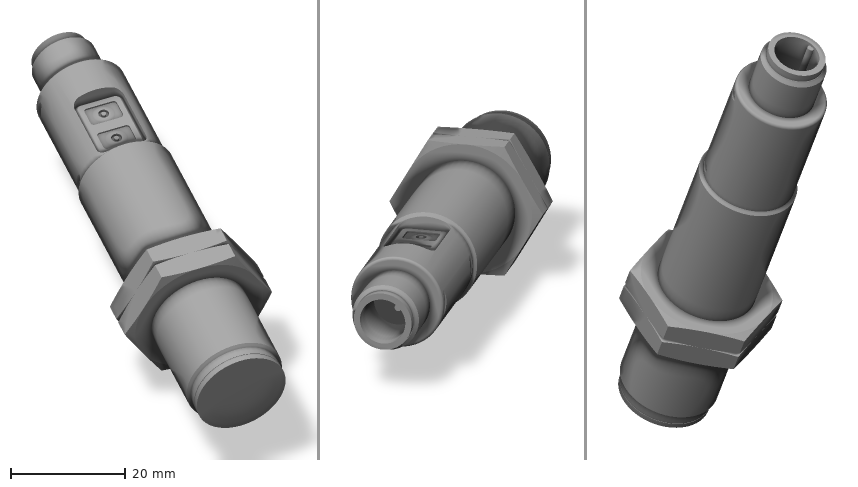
import cadquery as cq
import math

TOTAL_LENGTH = 87.0

CONNECTOR_RADIUS = 6.0
CONNECTOR_TIP_RADIUS = 5.2
CONNECTOR_TIP_LENGTH = 1.5
CONNECTOR_CHAMFER = 0.7
BORE_RADIUS = 4.1
BORE_DEPTH = 10.0
KEY_RADIUS = 0.6
KEY_OFFSET = 3.7
KEY_SETBACK = 0.4
KEY_ANGLE = 45.0

NECK_START = 10.0
NECK_RADIUS = 8.35
NECK_FILLET = 0.5

BARREL_START = 31.5
BARREL_END = 84.2
BARREL_RADIUS = 9.0
BARREL_CHAMFER_LENGTH = 0.5

FACE_RADIUS = NECK_RADIUS
FACE_GROOVE_START = 85.8
FACE_GROOVE_WIDTH = 0.3
FACE_GROOVE_DEPTH = 0.1

DIMPLE_POSITIONS = (11.75, 30.2)
DIMPLE_CUTTER_RADIUS = 1.0
DIMPLE_DEPTH = 0.32

PANEL_CENTER_X = 24.45
POCKET_LENGTH = 13.4
POCKET_WIDTH = 9.05
POCKET_CORNER_RADIUS = 1.5
POCKET_WALL_TAPER = 6.0
PAD_TOP_Z = 6.2
PAD_EDGE_HEIGHT = 0.5
PAD_EDGE_ANGLE = 45.0

CONTROL_POSITIONS = (21.3, 27.5)
WINDOW_LENGTH = 4.1
WINDOW_WIDTH = 6.1
WINDOW_CORNER_RADIUS = 0.6
WINDOW_DEPTH = 0.35
CONE_RADIUS = 2.0
CONE_TOP_RADIUS = 1.2
CONE_HEIGHT = 0.2
WELL_RADIUS = 1.0
WELL_DEPTH = 0.5
BUTTON_RADIUS = 0.4

NUT_COUNT = 2
NUT_SIDES = 6
NUT_START = 59.0
NUT_THICKNESS = 4.0
NUT_ACROSS_FLATS = 24.0
NUT_CHAMFER_HEIGHT = 0.4


def revolve_about_x(points):
    return cq.Workplane("XY").polyline(points).close().revolve(360, (0, 0, 0), (1, 0, 0))


def connector():
    """Threaded stub with a thinner tip and a chamfered shoulder."""
    shoulder = CONNECTOR_TIP_LENGTH + CONNECTOR_CHAMFER
    return revolve_about_x([
        (0, 0),
        (0, CONNECTOR_TIP_RADIUS),
        (CONNECTOR_TIP_LENGTH, CONNECTOR_TIP_RADIUS),
        (CONNECTOR_TIP_LENGTH, CONNECTOR_RADIUS - CONNECTOR_CHAMFER),
        (shoulder, CONNECTOR_RADIUS),
        (NECK_START, CONNECTOR_RADIUS),
        (NECK_START, 0),
    ])


def neck():
    return (
        cq.Workplane("YZ", origin=(NECK_START, 0, 0))
        .circle(NECK_RADIUS)
        .extrude(BARREL_START - NECK_START)
        .faces("<X")
        .edges()
        .fillet(NECK_FILLET)
    )


def barrel_and_face():
    """Barrel chamfered down to the neck and face radii, and the grooved sensing face."""
    groove_end = FACE_GROOVE_START + FACE_GROOVE_WIDTH
    groove_radius = FACE_RADIUS - FACE_GROOVE_DEPTH
    return revolve_about_x([
        (BARREL_START, 0),
        (BARREL_START, NECK_RADIUS),
        (BARREL_START + BARREL_CHAMFER_LENGTH, BARREL_RADIUS),
        (BARREL_END - BARREL_CHAMFER_LENGTH, BARREL_RADIUS),
        (BARREL_END, FACE_RADIUS),
        (FACE_GROOVE_START, FACE_RADIUS),
        (FACE_GROOVE_START, groove_radius),
        (groove_end, groove_radius),
        (groove_end, FACE_RADIUS),
        (TOTAL_LENGTH, FACE_RADIUS),
        (TOTAL_LENGTH, 0),
    ])


def connector_bore():
    """Blind socket with a round coding key left standing along its wall."""
    bore = cq.Workplane("YZ").circle(BORE_RADIUS).extrude(BORE_DEPTH)
    key_y = -KEY_OFFSET * math.cos(math.radians(KEY_ANGLE))
    key_z = KEY_OFFSET * math.sin(math.radians(KEY_ANGLE))
    key = (
        cq.Workplane("YZ", origin=(KEY_SETBACK, key_y, key_z))
        .circle(KEY_RADIUS)
        .extrude(BORE_DEPTH - KEY_SETBACK)
    )
    return bore.cut(key)


def dimple(x, side):
    cutter_y = side * (NECK_RADIUS - DIMPLE_DEPTH + DIMPLE_CUTTER_RADIUS)
    return (
        cq.Workplane("XY")
        .center(x, cutter_y)
        .circle(DIMPLE_CUTTER_RADIUS)
        .extrude(NECK_RADIUS, both=True)
    )


def rounded_rectangle(length, width, corner_radius):
    return cq.Sketch().rect(length, width).vertices().fillet(corner_radius)


def panel_pocket():
    floor_z = PAD_TOP_Z - PAD_EDGE_HEIGHT
    outline = rounded_rectangle(POCKET_LENGTH, POCKET_WIDTH, POCKET_CORNER_RADIUS)
    floor = cq.Workplane("XY", origin=(PANEL_CENTER_X, 0, floor_z)).placeSketch(outline)
    cavity = floor.extrude(BARREL_RADIUS - floor_z, taper=-POCKET_WALL_TAPER)
    pad = floor.extrude(PAD_EDGE_HEIGHT, taper=PAD_EDGE_ANGLE)
    return cavity.cut(pad)


def control_recess(x):
    """Rectangular window around a low cone, with a round button in the cone's well."""
    window_floor_z = PAD_TOP_Z - WINDOW_DEPTH
    floor = cq.Workplane("XY", origin=(x, 0, window_floor_z))
    outline = rounded_rectangle(WINDOW_LENGTH, WINDOW_WIDTH, WINDOW_CORNER_RADIUS)
    window = floor.placeSketch(outline).extrude(WINDOW_DEPTH)
    cone = floor.circle(CONE_RADIUS).workplane(offset=CONE_HEIGHT).circle(CONE_TOP_RADIUS).loft()
    well_floor = floor.workplane(offset=CONE_HEIGHT - WELL_DEPTH)
    well = well_floor.circle(WELL_RADIUS).extrude(WELL_DEPTH)
    button = well_floor.circle(BUTTON_RADIUS).extrude(WELL_DEPTH)
    return window.cut(cone).union(well.cut(button))


def build_sensor():
    body = connector().union(neck()).union(barrel_and_face())
    body = body.cut(connector_bore()).cut(panel_pocket())
    for x in CONTROL_POSITIONS:
        body = body.cut(control_recess(x))
    for x in DIMPLE_POSITIONS:
        for side in (-1, 1):
            body = body.cut(dimple(x, side))
    return body


def build_nut(start):
    """Hexagonal nut, both faces chamfered down to the circle inside the flats."""
    flat_radius = NUT_ACROSS_FLATS / 2
    corner_radius = flat_radius / math.cos(math.pi / NUT_SIDES)
    end = start + NUT_THICKNESS
    hexagon = (
        cq.Workplane("YZ", origin=(start, 0, 0))
        .polygon(NUT_SIDES, 2 * corner_radius)
        .extrude(NUT_THICKNESS)
    )
    chamfer_envelope = revolve_about_x([
        (start, 0),
        (start, flat_radius),
        (start + NUT_CHAMFER_HEIGHT, corner_radius),
        (end - NUT_CHAMFER_HEIGHT, corner_radius),
        (end, flat_radius),
        (end, 0),
    ])
    hole = cq.Workplane("YZ", origin=(start, 0, 0)).circle(BARREL_RADIUS).extrude(NUT_THICKNESS)
    return hexagon.intersect(chamfer_envelope).cut(hole)


sensor = build_sensor()
nuts = [build_nut(NUT_START + i * NUT_THICKNESS) for i in range(NUT_COUNT)]

result = cq.Compound.makeCompound([sensor.val(), *[nut.val() for nut in nuts]])